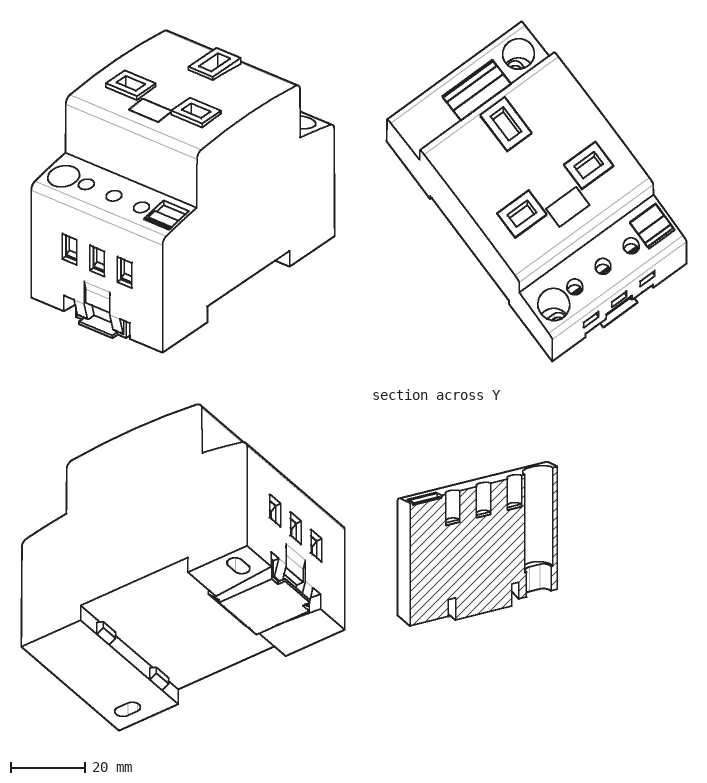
import cadquery as cq
import math


WIDTH = 45.0
FRONT_Y = -37.45
REAR_FOOT_Y = 37.5
REAR_SHELF_Y = 37.3
TOWER_FOOT_Y = 22.6
TOWER_TOP_Y = 22.4
CROWN_Z = 57.45
CROWN_RADIUS = 175.9
SHELF_DROP = 17.05
SHELF_RADIUS = CROWN_RADIUS - SHELF_DROP
EDGE_RADIUS = 2.1

GROOVE_HALF = 17.8
GROOVE_HEIGHT = 5.05
REAR_HOOK_GAP = 18.7
REAR_HOOK_WIDTH = 5.65
REAR_HOOK_REACH = 2.2
REAR_HOOK_TOP_Z = 4.0
REAR_HOOK_TIP_TOP_Z = 3.25
REAR_HOOK_TIP_BOTTOM_Z = 1.2

LATCH_WIDTH = 17.2
LATCH_CORE_WIDTH = 15.7
LATCH_FRONT_Y = -35.6
LATCH_REAR_Y = -18.1
LATCH_BOTTOM_Z = -1.65
LATCH_HOOK_NECK_Y = -16.75
LATCH_HOOK_NECK_Z = 4.0
LATCH_HOOK_TIP_Y = -14.5
LATCH_HOOK_TIP_TOP_Z = 3.7
LATCH_HOOK_TIP_BOTTOM_Z = 3.0
LATCH_HOOK_HEEL_Y = -17.6
LATCH_HOOK_HEEL_TOP_Z = -0.15
LATCH_HOOK_HEEL_BOTTOM_Z = -0.5
TAB_TOP_Z = -0.75
CORE_BOTTOM_Z = -0.5
TAB_FRONT_Y = FRONT_Y - 0.5
TAB_WIDTH = 11.5
NOTCH_FRONT_WIDTH = 22.65
NOTCH_REAR_WIDTH = 19.2
PRY_SLOT_WIDTH = 8.75
PRY_SLOT_TOP_Z = 12.2
PRY_SLOT_DEPTH = 0.75
PRY_CHANNEL_DEPTH = 2.9
LATCH_SLOPE = math.tan(math.radians(15))

TERMINAL_PITCH = 9.4
WINDOW_BOTTOM_Z = 16.45
WINDOW_TOP_Z = 24.45
WINDOW_WIDTH = 5.0
FUNNEL_WIDTH = 4.75
WINDOW_RIM_DEPTH = 1.65
WINDOW_SILL = 0.5
WINDOW_LINTEL = 0.15
FUNNEL_DEPTH = 1.35
FUNNEL_FLOOR_SLOPE = math.tan(math.radians(30))
FUNNEL_ROOF_SLOPE = math.tan(math.radians(42))
SCREW_Y = -30.05
SCREW_HOLE_DIAMETER = 4.2
SCREW_HEAD_Z = 28.7
SCREW_SLOT_WIDTH = 0.5
SCREW_SLOT_DEPTH = 0.75

FRONT_MOUNT_X = -16.8
FRONT_MOUNT_Y = -30.5
REAR_MOUNT_X = 16.3
REAR_MOUNT_Y = 30.2
MOUNT_BORE_DIAMETER = 8.5
MOUNT_FLOOR_Z = 7.55
MOUNT_SLOT_LENGTH = 7.5
MOUNT_SLOT_WIDTH = 4.4

RECESS_LENGTH = 8.7
RECESS_DEPTH = 1.5
BAR_START = 3.8
BAR_END = 6.7
BAR_DEPTH = 0.75
LEDGE_DEPTH = 0.1
FRONT_RECESS_Y = 24.75
FRONT_RECESS_X = 17.2
FRONT_RECESS_WIDTH = 8.7
FRONT_LEDGE = 0.7
REAR_RECESS_Y = 24.5
REAR_RECESS_X = 1.35
REAR_RECESS_WIDTH = 16.8
REAR_LEDGE = 0.3

PAD_TOP_Z = 58.3
PIN_DEPTH = 7.55
PAD_ROOT_Z = 52.8
EARTH_PAD = (8.3, 12.2)
EARTH_PIN = (4.3, 8.3)
EARTH_Y = 13.8
LIVE_PAD = (10.65, 8.2)
LIVE_PIN = (6.7, 4.15)
LIVE_X = 11.2
LIVE_Y = -8.45
PLATE_SIZE = (10.1, 6.1)
PLATE_Y = -14.1
PLATE_DEPTH = 0.1


def arc_z(peak_z, radius, y):
    """Height at y of an arc whose peak is at y = 0."""
    return peak_z - radius + math.sqrt(radius**2 - y**2)


def crown_z(y):
    return arc_z(CROWN_Z, CROWN_RADIUS, y)


def shelf_z(y):
    return arc_z(CROWN_Z - SHELF_DROP, SHELF_RADIUS, y)


def on_shelf(y):
    return (y, shelf_z(y))


def box(x_range, y_range, z_range):
    """Block between the given limits."""
    (x0, x1), (y0, y1), (z0, z1) = x_range, y_range, z_range
    return cq.Workplane("XY").box(x1 - x0, y1 - y0, z1 - z0, centered=False).translate((x0, y0, z0))


def side_prism(points, width, x=0.0):
    """Extrusion along X, centred on x, of an outline given as (y, z) points."""
    return cq.Workplane("YZ").polyline(points).close().extrude(width / 2, both=True).translate((x, 0, 0))


def upright(size, x, y, z0, z1):
    """Upright block of plan size centred on (x, y)."""
    return box((x - size[0] / 2, x + size[0] / 2), (y - size[1] / 2, y + size[1] / 2), (z0, z1))


def cylinder(diameter, x, y, z0, z1):
    """Upright cylinder centred on (x, y)."""
    return cq.Workplane("XY", origin=(x, y, z0)).circle(diameter / 2).extrude(z1 - z0)


def make_housing():
    shelf_mid_y = (TOWER_FOOT_Y + REAR_SHELF_Y) / 2
    outline = (
        cq.Workplane("YZ")
        .moveTo(FRONT_Y, 0)
        .lineTo(*on_shelf(FRONT_Y))
        .threePointArc(on_shelf(-shelf_mid_y), on_shelf(-TOWER_FOOT_Y))
        .lineTo(-TOWER_TOP_Y, crown_z(TOWER_TOP_Y))
        .threePointArc((0, CROWN_Z), (TOWER_TOP_Y, crown_z(TOWER_TOP_Y)))
        .lineTo(*on_shelf(TOWER_FOOT_Y))
        .threePointArc(on_shelf(shelf_mid_y), on_shelf(REAR_SHELF_Y))
        .lineTo(REAR_FOOT_Y, 0)
        .lineTo(GROOVE_HALF, 0)
        .lineTo(GROOVE_HALF, GROOVE_HEIGHT)
        .lineTo(-GROOVE_HALF, GROOVE_HEIGHT)
        .lineTo(-GROOVE_HALF, 0)
        .close()
    )
    housing = outline.extrude(WIDTH / 2, both=True)
    for y in (FRONT_Y, REAR_SHELF_Y):
        housing = housing.edges(cq.NearestToPointSelector((0, *on_shelf(y)))).fillet(EDGE_RADIUS)
    for y in (-TOWER_TOP_Y, TOWER_TOP_Y):
        housing = housing.edges(cq.NearestToPointSelector((0, y, crown_z(y)))).fillet(EDGE_RADIUS)
    return housing


def make_rear_hook(x):
    """Fixed hook on the rear foot, reaching into the groove."""
    tip_y = GROOVE_HALF - REAR_HOOK_REACH
    return side_prism(
        [
            (GROOVE_HALF, 0),
            (tip_y, REAR_HOOK_TIP_BOTTOM_Z),
            (tip_y, REAR_HOOK_TIP_TOP_Z),
            (GROOVE_HALF, REAR_HOOK_TOP_Z),
        ],
        REAR_HOOK_WIDTH,
        x,
    )


def make_notch():
    """Opening through the front foot, narrowing towards the groove."""
    front, rear = NOTCH_FRONT_WIDTH / 2, NOTCH_REAR_WIDTH / 2
    return (
        cq.Workplane("XY")
        .polyline([(-front, FRONT_Y), (front, FRONT_Y), (rear, -GROOVE_HALF), (-rear, -GROOVE_HALF)])
        .close()
        .extrude(GROOVE_HEIGHT)
    )


def make_pry_slot():
    """Shallow slot up the front face that leads to the latch."""
    inner_y = FRONT_Y + PRY_SLOT_DEPTH
    lip_z = PRY_SLOT_TOP_Z - PRY_SLOT_DEPTH / LATCH_SLOPE
    return side_prism(
        [(FRONT_Y, 0), (FRONT_Y, PRY_SLOT_TOP_Z), (inner_y, lip_z), (inner_y, 0)],
        PRY_SLOT_WIDTH,
    )


def make_latch():
    """Sliding latch: flanged block, leaning front core with a pry channel, front tab and rear hook."""
    body = side_prism(
        [
            (LATCH_FRONT_Y, LATCH_BOTTOM_Z),
            (LATCH_FRONT_Y, GROOVE_HEIGHT),
            (LATCH_HOOK_NECK_Y, GROOVE_HEIGHT),
            (LATCH_HOOK_NECK_Y, LATCH_HOOK_NECK_Z),
            (LATCH_HOOK_TIP_Y, LATCH_HOOK_TIP_TOP_Z),
            (LATCH_HOOK_TIP_Y, LATCH_HOOK_TIP_BOTTOM_Z),
            (LATCH_HOOK_HEEL_Y, LATCH_HOOK_HEEL_TOP_Z),
            (LATCH_HOOK_HEEL_Y, LATCH_HOOK_HEEL_BOTTOM_Z),
            (LATCH_REAR_Y, LATCH_HOOK_HEEL_BOTTOM_Z),
            (LATCH_REAR_Y, LATCH_BOTTOM_Z),
        ],
        LATCH_WIDTH,
    )

    def leaning(set_back, bottom_z, width):
        """Solid behind a leaning face, set back from the front face of the housing."""
        top_y = FRONT_Y + set_back
        points = [
            (top_y, GROOVE_HEIGHT),
            (top_y + LATCH_SLOPE * (GROOVE_HEIGHT - bottom_z), bottom_z),
            (LATCH_REAR_Y, bottom_z),
            (LATCH_REAR_Y, GROOVE_HEIGHT),
        ]
        return side_prism(points, width)

    core = leaning(0, CORE_BOTTOM_Z, LATCH_CORE_WIDTH)
    channel = leaning(0, TAB_TOP_Z, PRY_SLOT_WIDTH)
    channel = channel.cut(leaning(PRY_CHANNEL_DEPTH, TAB_TOP_Z, PRY_SLOT_WIDTH))
    tab = box((-TAB_WIDTH / 2, TAB_WIDTH / 2), (TAB_FRONT_Y, LATCH_FRONT_Y), (LATCH_BOTTOM_Z, TAB_TOP_Z))
    return body.union(core).cut(channel).union(tab)


def make_window(x):
    """Wire entry in the front face: rectangular rim, then a funnel narrowing in height."""
    rim_y = FRONT_Y + WINDOW_RIM_DEPTH
    back_y = rim_y + FUNNEL_DEPTH
    floor_z = WINDOW_BOTTOM_Z + WINDOW_SILL
    roof_z = WINDOW_TOP_Z - WINDOW_LINTEL
    rim = box(
        (x - WINDOW_WIDTH / 2, x + WINDOW_WIDTH / 2),
        (FRONT_Y, rim_y),
        (WINDOW_BOTTOM_Z, WINDOW_TOP_Z),
    )
    funnel = side_prism(
        [
            (rim_y, floor_z),
            (back_y, floor_z + FUNNEL_DEPTH * FUNNEL_FLOOR_SLOPE),
            (back_y, roof_z - FUNNEL_DEPTH * FUNNEL_ROOF_SLOPE),
            (rim_y, roof_z),
        ],
        FUNNEL_WIDTH,
        x,
    )
    return rim.union(funnel)


def make_screw_hole(x):
    """Bore from the shelf down to a slotted screw head."""
    bore = cylinder(SCREW_HOLE_DIAMETER, x, SCREW_Y, SCREW_HEAD_Z, CROWN_Z)
    slot_z = SCREW_HEAD_Z - SCREW_SLOT_DEPTH
    slot = upright((SCREW_HOLE_DIAMETER, SCREW_SLOT_WIDTH), x, SCREW_Y, slot_z, SCREW_HEAD_Z)
    return bore.union(slot.intersect(cylinder(SCREW_HOLE_DIAMETER, x, SCREW_Y, slot_z, SCREW_HEAD_Z)))


def make_mount_hole(x, y, slot_angle):
    """Bore from the shelf with a slot through its floor."""
    bore = cylinder(MOUNT_BORE_DIAMETER, x, y, MOUNT_FLOOR_Z, CROWN_Z)
    slot = cq.Workplane("XY", origin=(x, y, 0)).slot2D(MOUNT_SLOT_LENGTH, MOUNT_SLOT_WIDTH, slot_angle)
    return bore.union(slot.extrude(MOUNT_FLOOR_Z))


def make_label_recess(x, inner_y, width, ledge, side):
    """Recess with a raised bar; side is -1 on the front shelf and 1 on the rear one."""
    inner_z = shelf_z(inner_y)
    slope = (shelf_z(inner_y + RECESS_LENGTH) - inner_z) / RECESS_LENGTH

    def below(along, depth):
        return (side * (inner_y + along), inner_z + slope * along - depth)

    ledge_start = RECESS_LENGTH - ledge
    above = -RECESS_DEPTH
    return side_prism(
        [
            below(0, above),
            below(0, RECESS_DEPTH),
            below(BAR_START, RECESS_DEPTH),
            below(BAR_START, BAR_DEPTH),
            below(BAR_END, BAR_DEPTH),
            below(BAR_END, RECESS_DEPTH),
            below(ledge_start, RECESS_DEPTH),
            below(ledge_start, LEDGE_DEPTH),
            below(RECESS_LENGTH, LEDGE_DEPTH),
            below(RECESS_LENGTH, above),
        ],
        width,
        x,
    )


def add_socket(part):
    """Three framed pin openings and a barely sunken plate on the tower."""
    openings = [
        (EARTH_PAD, EARTH_PIN, 0, EARTH_Y),
        (LIVE_PAD, LIVE_PIN, -LIVE_X, LIVE_Y),
        (LIVE_PAD, LIVE_PIN, LIVE_X, LIVE_Y),
    ]
    for pad, pin, x, y in openings:
        part = part.union(upright(pad, x, y, PAD_ROOT_Z, PAD_TOP_Z))
        part = part.cut(upright(pin, x, y, PAD_TOP_Z - PIN_DEPTH, PAD_TOP_Z))
    edge_y = (PLATE_Y - PLATE_SIZE[1] / 2, PLATE_Y + PLATE_SIZE[1] / 2)
    low, high = (crown_z(y) - PLATE_DEPTH for y in edge_y)
    plate = [(edge_y[0], low), (edge_y[0], CROWN_Z), (edge_y[1], CROWN_Z), (edge_y[1], high)]
    return part.cut(side_prism(plate, PLATE_SIZE[0]))


result = make_housing()
result = result.cut(make_notch()).cut(make_pry_slot())
hook_x = (REAR_HOOK_GAP + REAR_HOOK_WIDTH) / 2
result = result.union(make_rear_hook(-hook_x)).union(make_rear_hook(hook_x)).union(make_latch())
for column in (-1, 0, 1):
    terminal_x = column * TERMINAL_PITCH
    result = result.cut(make_window(terminal_x)).cut(make_screw_hole(terminal_x))
result = result.cut(make_mount_hole(FRONT_MOUNT_X, FRONT_MOUNT_Y, slot_angle=0))
result = result.cut(make_mount_hole(REAR_MOUNT_X, REAR_MOUNT_Y, slot_angle=90))
result = result.cut(
    make_label_recess(FRONT_RECESS_X, FRONT_RECESS_Y, FRONT_RECESS_WIDTH, FRONT_LEDGE, side=-1)
)
result = result.cut(
    make_label_recess(REAR_RECESS_X, REAR_RECESS_Y, REAR_RECESS_WIDTH, REAR_LEDGE, side=1)
)
result = add_socket(result)